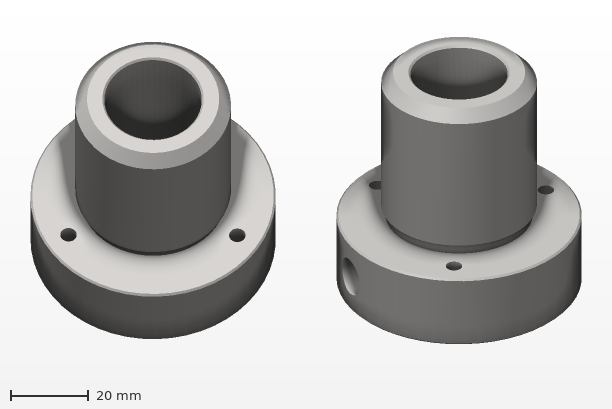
import cadquery as cq

total_height = 63.0
flange_diameter = 63.0
flange_height = 20.0
edge_chamfer = 0.5

neck_diameter = 38.0
neck_height = 3.0
shank_diameter = 40.0
shank_chamfer = 3.0
shank_base = flange_height + neck_height

bore_diameter = 25.0
bolt_hole_diameter = 4.2
bolt_circle_radius = 25.0
bolt_hole_count = 3
first_bolt_angle = -90.0
side_hole_diameter = 10.0


def cylinder(diameter, base, height):
    """Upright cylinder centred on the Z axis, starting at the given height."""
    return cq.Workplane("XY").workplane(offset=base).circle(diameter / 2).extrude(height)


def make_body():
    """Flange, relief neck and chamfered shank stacked along Z."""
    flange = cylinder(flange_diameter, 0, flange_height).edges().chamfer(edge_chamfer)
    neck = cylinder(neck_diameter, flange_height, neck_height)
    shank = cylinder(shank_diameter, shank_base, total_height - shank_base)
    shank = shank.faces(">Z").edges().chamfer(shank_chamfer)
    return flange.union(neck).union(shank)


def make_bore():
    """Through bore that widens in a small chamfer at the shank end."""
    bore_radius = bore_diameter / 2
    profile = [
        (0, 0),
        (bore_radius, 0),
        (bore_radius, total_height - edge_chamfer),
        (bore_radius + edge_chamfer, total_height),
        (0, total_height),
    ]
    return cq.Workplane("XZ").polyline(profile).close().revolve(360, (0, 0), (0, 1))


def make_bolt_holes():
    """Evenly spaced through holes in the flange."""
    return (
        cq.Workplane("XY")
        .polarArray(bolt_circle_radius, first_bolt_angle, 360, bolt_hole_count)
        .circle(bolt_hole_diameter / 2)
        .extrude(flange_height)
    )


def make_side_hole():
    """Radial hole from the +Y rim of the flange into the bore, at mid height."""
    return (
        cq.Workplane("XZ", origin=(0, 0, flange_height / 2))
        .circle(side_hole_diameter / 2)
        .extrude(-flange_diameter / 2)
    )


result = make_body().cut(make_bore()).cut(make_bolt_holes()).cut(make_side_hole())